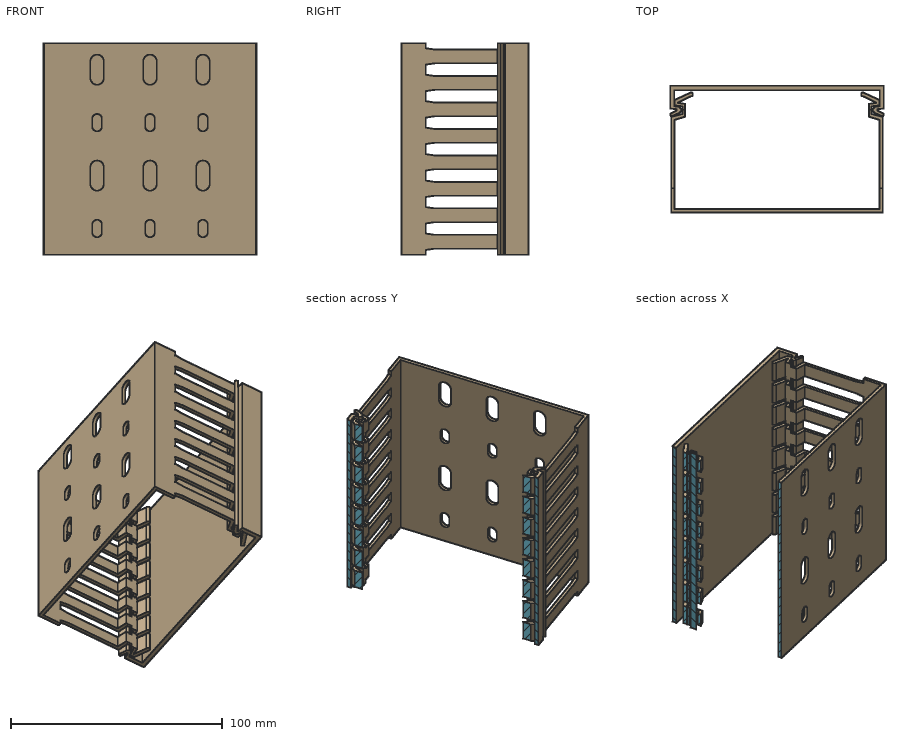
import cadquery as cq
length = 100.0
depth = 60.0
front_y = -depth / 2
rear_y = depth / 2

duct_half_width = 50.0
duct_wall = 1.6
base_thickness = 1.8
duct_inner_x = duct_half_width - duct_wall
base_inner_y = front_y + base_thickness

step_inner_x = 43.3
step_wall = 1.3
step_groove_x = step_inner_x + step_wall

finger_count = 8
finger_pitch = length / finger_count
slot_half_width = 2.9
slot_root_half_width = 2.3
slot_root_y = -18.5
slot_taper_y = -14.4
slot_neck_y = 18.5
slot_neck_half_width = 1.2

hole_columns = (-2 * finger_pitch, 0, 2 * finger_pitch)
large_hole_length = 14.2
large_hole_width = 6.4
large_hole_rows = (3 * finger_pitch, -finger_pitch)
small_hole_length = 8.2
small_hole_width = 4.6
small_hole_rows = (finger_pitch, -3 * finger_pitch)

lid_half_width = 50.5
lid_side_wall = 2.0
lid_thickness = 2.2
lid_inner_x = lid_half_width - lid_side_wall


def extrude_along_length(sketch):
    return sketch.close().extrude(length / 2, both=True)


def duct_side():
    """Right-hand side wall, from the base up to the flexible guide tongue."""
    profile = (
        cq.Workplane("XY")
        .moveTo(duct_half_width, front_y)
        .lineTo(duct_half_width, 15.3)
        .lineTo(step_groove_x, 16.7)
        .lineTo(step_groove_x, 20.1)
        .lineTo(duct_inner_x, 20.6)
        .lineTo(duct_inner_x, 23.1)
        .lineTo(46.7, 24.0)
        .lineTo(40.7, 26.8)
        .threePointArc((39.8, 26.3), (40.7, 24.8))
        .lineTo(47.0, 21.8)
        .lineTo(step_inner_x, 21.4)
        .lineTo(step_inner_x, 15.3)
        .lineTo(duct_inner_x, 13.7)
        .lineTo(duct_inner_x, front_y)
    )
    return extrude_along_length(profile)


def side_slot(z):
    """Cutter for one slot through both sides: tapered root, wide middle, narrow neck at the tongues."""
    half_outline = [
        (slot_root_y, slot_root_half_width),
        (slot_taper_y, slot_half_width),
        (slot_neck_y, slot_half_width),
        (slot_neck_y, slot_neck_half_width),
        (rear_y, slot_neck_half_width),
    ]
    other_half = [(y, -half_width) for y, half_width in reversed(half_outline)]
    return (
        cq.Workplane("YZ", origin=(0, 0, z))
        .polyline(half_outline + other_half)
        .close()
        .extrude(lid_half_width, both=True)
    )


def mounting_holes(rows, hole_length, hole_width):
    centres = [(x, z) for x in hole_columns for z in rows]
    return (
        cq.Workplane("XZ", origin=(0, base_inner_y, 0))
        .pushPoints(centres)
        .slot2D(hole_length, hole_width, 90)
        .extrude(base_thickness)
    )


def make_duct():
    base_centre_y = front_y + base_thickness / 2
    body = cq.Workplane("XY").box(2 * duct_half_width, base_thickness, length).translate((0, base_centre_y, 0))
    side = duct_side()
    body = body.union(side).union(side.mirror("YZ"))
    for index in range(finger_count + 1):
        body = body.cut(side_slot(index * finger_pitch - length / 2))
    body = body.cut(mounting_holes(large_hole_rows, large_hole_length, large_hole_width))
    return body.cut(mounting_holes(small_hole_rows, small_hole_length, small_hole_width))


def lid_side():
    """Right-hand side wall of the lid with its hooked snap edge."""
    profile = (
        cq.Workplane("XY")
        .moveTo(lid_half_width, rear_y)
        .lineTo(lid_half_width, 19.1)
        .lineTo(47.4, 18.8)
        .lineTo(47.4, 18.3)
        .lineTo(lid_half_width, 16.7)
        .threePointArc((50.3, 16.0), (49.9, 15.4))
        .lineTo(46.0, 17.1)
        .lineTo(45.0, 18.2)
        .lineTo(45.0, 18.8)
        .lineTo(46.3, 20.0)
        .lineTo(lid_inner_x, 20.3)
        .lineTo(lid_inner_x, rear_y)
    )
    return extrude_along_length(profile)


def make_lid():
    plate_centre_y = rear_y - lid_thickness / 2
    plate = cq.Workplane("XY").box(2 * lid_half_width, lid_thickness, length).translate((0, plate_centre_y, 0))
    side = lid_side()
    return plate.union(side).union(side.mirror("YZ"))


duct = make_duct()
lid = make_lid()

result = cq.Compound.makeCompound([duct.val(), lid.val()])